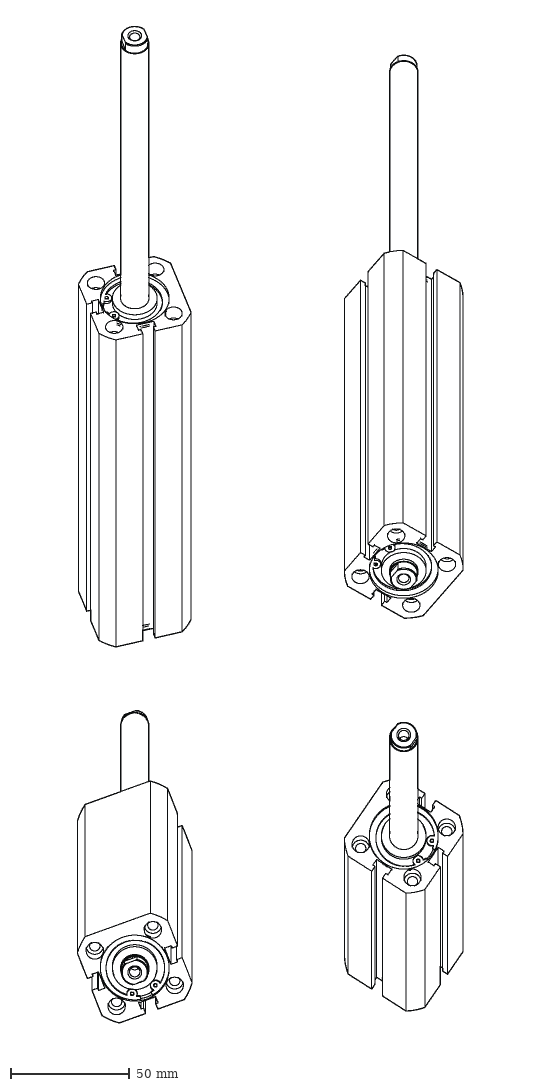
import cadquery as cq
import math

total_length = 365.0

housing_width = 41.0
housing_length = 193.5
housing_bottom = 6.2
housing_top = housing_bottom + housing_length
corner_circle_radius = 25.2

slot_neck_width = 5.5
slot_lip = 2.5
slot_head_width = 7.5
slot_depth = 5.5
slot_angles = (-90, 0, 90)

screw_spacing = 26.3
screw_hole_radius = 2.2
screw_head_radius = 3.5
screw_head_depth = 7.0

bore_radius = 12.5
seat_radius = 13.5
seat_depth = 15.0
mouth_radius = 14.5
mouth_depth = 3.0

ring_thickness = 1.0
ring_inner_radius = 12.5
ring_inner_offset = 0.7
ring_gap_width = 5.0
ear_radius = 2.2
ear_pitch_radius = 12.0
ear_angle = 26
ear_hole_radius = 0.7

boss_radius = 9.5
boss_height = mouth_depth

rod_diameter = 12.0
rod_radius = rod_diameter / 2
neck_diameter = 11.3
neck_radius = neck_diameter / 2
neck_length = 4.7
flat_length = 4.5
flat_spacing = 10.0
end_chamfer = 0.5
end_hole_radius = 2.2
end_hole_mouth_radius = 3.0
end_hole_depth = 11.0
drill_point_angle = 118


def cylinder(radius, bottom, height):
    """Upright cylinder on the Z axis."""
    return cq.Workplane("XY").workplane(offset=bottom).circle(radius).extrude(height)


def mirrored_to_bottom(body):
    """Copy of a body from the upper end of the housing, turned over to its lower end."""
    middle = housing_bottom + housing_length / 2
    return body.mirror("XY", (0, 0, middle))


def slot_cutter(angle):
    """T-slot on the -Y face, turned about Z by the given angle."""
    face = -housing_width / 2
    lip = face + slot_lip
    floor = face + slot_depth
    return (
        cq.Workplane("XY")
        .workplane(offset=housing_bottom)
        .moveTo(-slot_neck_width / 2, face)
        .lineTo(-slot_neck_width / 2, lip)
        .lineTo(-slot_head_width / 2, lip)
        .lineTo(-slot_head_width / 2, floor)
        .lineTo(slot_head_width / 2, floor)
        .lineTo(slot_head_width / 2, lip)
        .lineTo(slot_neck_width / 2, lip)
        .lineTo(slot_neck_width / 2, face)
        .close()
        .extrude(housing_length)
        .rotate((0, 0, 0), (0, 0, 1), angle)
    )


def screw_cutters(radius, bottom, height):
    """Four cylinders on the screw axes."""
    return (
        cq.Workplane("XY")
        .workplane(offset=bottom)
        .rect(screw_spacing, screw_spacing, forConstruction=True)
        .vertices()
        .circle(radius)
        .extrude(height)
    )


def make_housing():
    square = (
        cq.Workplane("XY")
        .workplane(offset=housing_bottom)
        .rect(housing_width, housing_width)
        .extrude(housing_length)
    )
    body = square.intersect(cylinder(corner_circle_radius, housing_bottom, housing_length))
    for angle in slot_angles:
        body = body.cut(slot_cutter(angle))
    body = body.cut(screw_cutters(screw_hole_radius, housing_bottom, housing_length))
    body = body.cut(cylinder(bore_radius, housing_bottom, housing_length))

    head_pockets = screw_cutters(screw_head_radius, housing_top - screw_head_depth, screw_head_depth)
    seat = cylinder(seat_radius, housing_top - seat_depth, seat_depth)
    mouth = cylinder(mouth_radius, housing_top - mouth_depth, mouth_depth)
    for cutter in (head_pockets, seat, mouth):
        body = body.cut(cutter).cut(mirrored_to_bottom(cutter))
    return body


def make_collar():
    """Upper collar: fills the bore seat, with a boss flush with the housing end."""
    flange_height = seat_depth - mouth_depth
    flange = cylinder(seat_radius, housing_top - seat_depth, flange_height)
    boss = cylinder(boss_radius, housing_top - boss_height, boss_height)
    return flange.union(boss).cut(cylinder(rod_radius, 0, total_length))


def make_ring():
    """Upper retaining ring: open towards -Y, with a drilled ear on each side of the gap."""
    bottom = housing_top - mouth_depth
    plane = cq.Workplane("XY").workplane(offset=bottom)
    ear_x = ear_pitch_radius * math.sin(math.radians(ear_angle))
    ear_y = -ear_pitch_radius * math.cos(math.radians(ear_angle))
    ear_centers = [(-ear_x, ear_y), (ear_x, ear_y)]

    band = cylinder(mouth_radius, bottom, ring_thickness)
    opening = plane.center(0, -ring_inner_offset).circle(ring_inner_radius).extrude(ring_thickness)
    ears = plane.pushPoints(ear_centers).circle(ear_radius).extrude(ring_thickness)
    gap = (
        plane.center(0, -mouth_radius)
        .rect(ring_gap_width, 2 * (mouth_radius - boss_radius))
        .extrude(ring_thickness)
    )
    ear_holes = plane.pushPoints(ear_centers).circle(ear_hole_radius).extrude(ring_thickness)
    return band.cut(opening).union(ears).cut(gap).cut(ear_holes)


def make_rod_end():
    """Upper end of the rod: a chamfered neck with two wrench flats facing -Y and +Y."""
    neck = cylinder(neck_radius, total_length - neck_length, neck_length).faces(">Z").chamfer(end_chamfer)
    for side in (-1, 1):
        beyond_flat = (
            cq.Workplane("XY")
            .workplane(offset=total_length - flat_length)
            .center(0, side * (flat_spacing / 2 + neck_radius))
            .rect(2 * neck_radius, 2 * neck_radius)
            .extrude(flat_length)
        )
        neck = neck.cut(beyond_flat)
    return neck


def end_hole_cutter():
    """Countersunk blind hole with a drill point, in the upper end of the rod."""
    drill_point_height = end_hole_radius * math.tan(math.radians(90 - drill_point_angle / 2))
    countersink_depth = end_hole_mouth_radius - end_hole_radius
    floor = total_length - end_hole_depth
    return (
        cq.Workplane("XZ")
        .moveTo(0, floor - drill_point_height)
        .lineTo(end_hole_radius, floor)
        .lineTo(end_hole_radius, total_length - countersink_depth)
        .lineTo(end_hole_mouth_radius, total_length)
        .lineTo(0, total_length)
        .close()
        .revolve(360, (0, 0, 0), (0, 1, 0))
    )


def make_rod():
    rod = cylinder(rod_radius, neck_length, total_length - 2 * neck_length)
    end = make_rod_end()
    hole = end_hole_cutter()
    rod_middle = (0, 0, total_length / 2)
    rod = rod.union(end).union(end.mirror("XY", rod_middle))
    return rod.cut(hole).cut(hole.mirror("XY", rod_middle))


housing = make_housing()
rod = make_rod()
collar = make_collar()
ring = make_ring()
result = cq.Compound.makeCompound(
    [
        housing.val(),
        rod.val(),
        collar.val(),
        mirrored_to_bottom(collar).val(),
        ring.val(),
        mirrored_to_bottom(ring).val(),
    ]
)